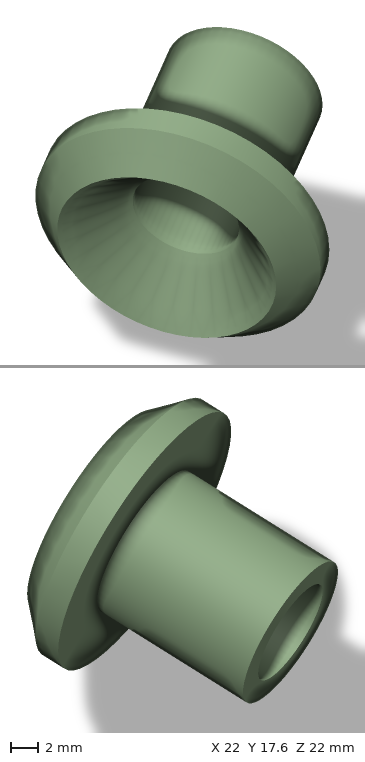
import cadquery as cq

flange_diameter = 22.0
barrel_diameter = 12.08
bore_diameter = 8.2
total_length = 17.55
rim_width = 2.0
chamfer_size = 2.55

flange_radius = flange_diameter / 2
barrel_radius = barrel_diameter / 2
bore_radius = bore_diameter / 2
flange_thickness = chamfer_size + rim_width

mouth_radius = flange_radius - chamfer_size
countersink_depth = mouth_radius - bore_radius

half_section = [
    (mouth_radius, 0),
    (flange_radius, chamfer_size),
    (flange_radius, flange_thickness),
    (barrel_radius, flange_thickness),
    (barrel_radius, total_length),
    (bore_radius, total_length),
    (bore_radius, countersink_depth),
]

result = cq.Workplane("XY").polyline(half_section).close().revolve(360, (0, 0, 0), (0, 1, 0))